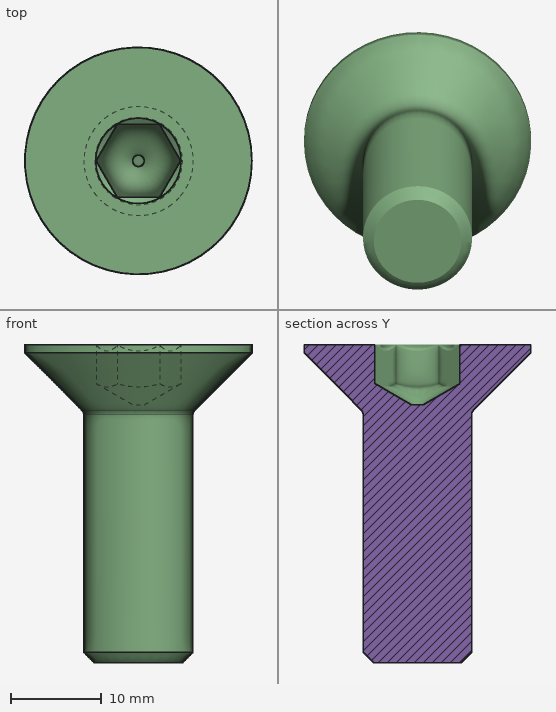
import cadquery as cq
import math

length = 35.0
shank_radius = 12.0 / 2
head_radius = 25.0 / 2
head_rim_height = 0.9
tip_chamfer = 1.2
neck_fillet = 0.6
neck_margin = 0.35

hex_across_flats = 8.05
hex_across_corners = hex_across_flats / math.cos(math.pi / 6)
mouth_radius = 4.7
mouth_angle = 45.0
socket_depth = 4.27
floor_radius = 0.63
floor_slope = 30.0

cone_height = head_radius - shank_radius
neck_z = length - head_rim_height - cone_height


def make_body():
    """Revolve the head and shank, then blend the neck between them."""
    body = (
        cq.Workplane("XZ")
        .lineTo(shank_radius - tip_chamfer, 0)
        .lineTo(shank_radius, tip_chamfer)
        .lineTo(shank_radius, neck_z)
        .lineTo(head_radius, length - head_rim_height)
        .lineTo(head_radius, length)
        .lineTo(0, length)
        .close()
        .revolve(360, (0, 0, 0), (0, 1, 0))
    )
    neck_edge = cq.selectors.BoxSelector(
        (-head_radius, -head_radius, neck_z - neck_margin),
        (head_radius, head_radius, neck_z + neck_margin),
    )
    return body.edges(neck_edge).fillet(neck_fillet)


def make_socket():
    """Hexagon with a tapered floor, plus a conical countersink at its mouth."""
    corner_radius = hex_across_corners / 2
    corner_z = length - socket_depth
    floor_z = corner_z - (corner_radius - floor_radius) * math.tan(math.radians(floor_slope))
    hexagon = (
        cq.Workplane("XY", origin=(0, 0, floor_z))
        .polygon(6, hex_across_corners)
        .extrude(length - floor_z)
    )
    floor_envelope = (
        cq.Workplane("XZ")
        .moveTo(0, floor_z)
        .lineTo(floor_radius, floor_z)
        .lineTo(corner_radius, corner_z)
        .lineTo(corner_radius, length)
        .lineTo(0, length)
        .close()
        .revolve(360, (0, 0, 0), (0, 1, 0))
    )
    mouth_depth = mouth_radius * math.tan(math.radians(mouth_angle))
    mouth = (
        cq.Workplane("XZ")
        .moveTo(0, length)
        .lineTo(mouth_radius, length)
        .lineTo(0, length - mouth_depth)
        .close()
        .revolve(360, (0, 0, 0), (0, 1, 0))
    )
    return hexagon.intersect(floor_envelope).union(mouth)


result = make_body().cut(make_socket())